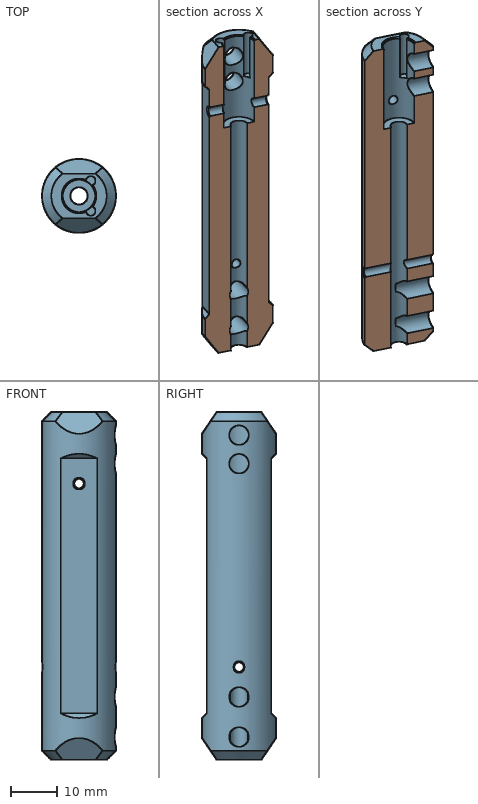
import cadquery as cq
import math

length = 75.0
body_diameter = 16.0
body_radius = body_diameter / 2
end_chamfer = 2.0

nose_half_width = 4.8
nose_height = 4.7

flat_half_width = 7.0
flat_margin = 10.05
runout_margin = flat_margin - (body_radius - flat_half_width)

bore_diameter = 7.0
bore_depth = 20.0
bore_chamfer = 0.26
through_diameter = 3.7

key_diameter = 2.0
key_circle_radius = 4.1
key_angle = 52
key_depth = 10.0

pin_diameter = 2.0
pin_countersink = 0.26
y_pin_height = length - 15.45
x_pin_height = 20.0

screw_diameter = 4.2
screw_heights = (4.95, 13.6, length - 11.2, length - 5.0)


def make_body():
    """Bar with chamfered ends, trimmed by its Y-Z outline to form the noses and flats."""
    bar = cq.Workplane("XY").circle(body_radius).extrude(length).faces("<Z or >Z").chamfer(end_chamfer)
    lower_right = [
        (nose_half_width, 0),
        (body_radius, nose_height),
        (body_radius, runout_margin),
        (flat_half_width, flat_margin),
    ]
    right = lower_right + [(y, length - z) for y, z in reversed(lower_right)]
    left = [(-y, z) for y, z in reversed(right)]
    outline = cq.Workplane("YZ").polyline(right + left).close().extrude(body_radius, both=True)
    return bar.intersect(outline)


def make_bore():
    """Chamfered bore and the smaller hole through the full length."""
    through_hole = cq.Workplane("XY").circle(through_diameter / 2).extrude(length)
    bore = cq.Workplane("XY", origin=(0, 0, length)).circle(bore_diameter / 2).extrude(-bore_depth)
    mouth = cq.Workplane("XY").add(
        cq.Solid.makeCone(
            bore_diameter / 2 + bore_chamfer,
            bore_diameter / 2,
            bore_chamfer,
            cq.Vector(0, 0, length),
            cq.Vector(0, 0, -1),
        )
    )
    return through_hole.union(bore).union(mouth)


def make_key_slots():
    """Pair of round slots mirrored about the X axis."""
    angle = math.radians(key_angle)
    x = key_circle_radius * math.cos(angle)
    y = key_circle_radius * math.sin(angle)
    return (
        cq.Workplane("XY", origin=(0, 0, length))
        .pushPoints([(x, y), (x, -y)])
        .circle(key_diameter / 2)
        .extrude(-key_depth)
    )


def make_pin_hole(axis, height, mouth_distance):
    """Hole across the bar along the given axis, countersunk at both mouths."""
    centre = cq.Vector(0, 0, height)
    pin_radius = pin_diameter / 2
    hole = cq.Workplane("XY")
    for direction in (axis, -axis):
        mouth = centre + direction * mouth_distance
        drill = cq.Solid.makeCylinder(pin_radius, mouth_distance, centre, direction)
        sink = cq.Solid.makeCone(
            pin_radius + pin_countersink, pin_radius, pin_countersink, mouth, -direction
        )
        hole = hole.union(cq.Workplane("XY").add(drill)).union(cq.Workplane("XY").add(sink))
    return hole


def make_screw_hole(height):
    """Radial hole from the axis out through the +X side."""
    return cq.Workplane("YZ", origin=(0, 0, height)).circle(screw_diameter / 2).extrude(body_radius)


result = make_body().cut(make_bore()).cut(make_key_slots())
result = result.cut(make_pin_hole(cq.Vector(0, 1, 0), y_pin_height, flat_half_width))
result = result.cut(make_pin_hole(cq.Vector(1, 0, 0), x_pin_height, body_radius))
for screw_height in screw_heights:
    result = result.cut(make_screw_hole(screw_height))